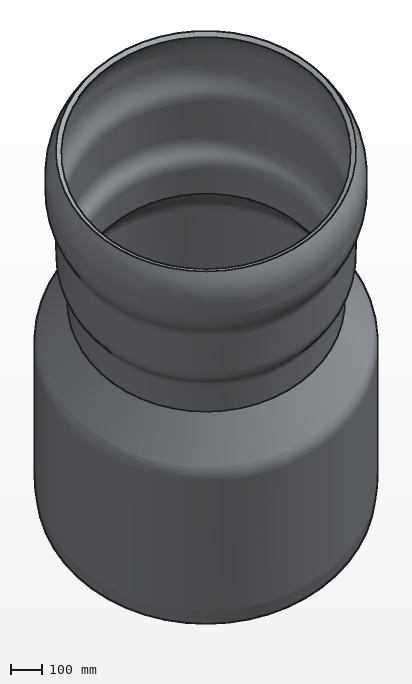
import cadquery as cq
import math

WALL = 20.0
TOTAL_HEIGHT = 1800.0
NECK_RADIUS = 890.0 / 2

REDUCER_RADIUS = 1100.0 / 2
REDUCER_HEIGHT = 1003.0
CONE_BASE_HEIGHT = 803.0
SHOULDER_FILLET = 117.0
TIP_RADIUS = 544.0
TIP_TAPER_HEIGHT = 75.0
TIP_FILLET = 135.0

BULGE_RADIUS = 990.0 / 2 + WALL
SLEEVE_RADIUS = 960.0 / 2
MOUTH_RADIUS = SLEEVE_RADIUS
NECK_TOP = 1138.0
LOWER_BEND_JOINT = 1180.0
SLEEVE_BOTTOM = 1256.0
SLEEVE_TOP = 1447.0
UPPER_BEND_JOINT = 1498.0
BULGE_BOTTOM = 1602.0
BULGE_TOP = 1670.0


def polar(center, radius, angle):
    """Point in the (r, z) plane at an angle measured from the outward radial direction."""
    return (center[0] + radius * math.cos(angle), center[1] + radius * math.sin(angle))


def revolve_profile(profile):
    return profile.close().revolve(360, (0, 0, 0), (0, 1, 0))


def add_rounded_corner(profile, before, corner, after, radius):
    """Append a line to the corner and round it there, ready to go on toward the point after."""
    corner = cq.Vector(*corner)
    to_before = (cq.Vector(*before) - corner).normalized()
    to_after = (cq.Vector(*after) - corner).normalized()
    half_angle = to_before.getAngle(to_after) / 2
    tangent_length = radius / math.tan(half_angle)
    bisector = (to_before + to_after).normalized()
    start = corner + to_before * tangent_length
    middle = corner + bisector * (radius / math.sin(half_angle) - radius)
    end = corner + to_after * tangent_length
    return (
        profile
        .lineTo(start.x, start.y)
        .threePointArc((middle.x, middle.y), (end.x, end.y))
    )


def make_reducer():
    inner_radius = REDUCER_RADIUS - WALL
    inner_bottom = (inner_radius, 0)
    inner_shoulder = (inner_radius, CONE_BASE_HEIGHT)
    inner_top = (NECK_RADIUS - WALL, REDUCER_HEIGHT)
    outer_top = (NECK_RADIUS, REDUCER_HEIGHT)
    outer_shoulder = (REDUCER_RADIUS, CONE_BASE_HEIGHT)
    outer_taper = (REDUCER_RADIUS, TIP_TAPER_HEIGHT)
    outer_bottom = (TIP_RADIUS, 0)

    profile = cq.Workplane("XZ").moveTo(*inner_bottom)
    profile = add_rounded_corner(
        profile, inner_bottom, inner_shoulder, inner_top, SHOULDER_FILLET - WALL
    )
    profile = profile.lineTo(*inner_top).lineTo(*outer_top)
    profile = add_rounded_corner(profile, outer_top, outer_shoulder, outer_taper, SHOULDER_FILLET)
    profile = add_rounded_corner(profile, outer_shoulder, outer_taper, outer_bottom, TIP_FILLET)
    profile = profile.lineTo(*outer_bottom)
    return revolve_profile(profile)


def bend_arcs(small_radius, large_radius, bottom, joint, top):
    """Tangent S-bend of the outer face: a concave arc, then a convex arc, as (center, radius) and angle."""
    angle = 2 * math.atan((large_radius - small_radius) / (top - bottom))
    concave_radius = (joint - bottom) / math.sin(angle)
    convex_radius = (top - joint) / math.sin(angle)
    concave = ((small_radius + concave_radius, bottom), concave_radius)
    convex = ((large_radius - convex_radius, top), convex_radius)
    return concave, convex, angle


def add_bend(profile, bend, inset):
    """Append an S-bend, shifted inward from the outer face by inset."""
    (low_center, low_radius), (high_center, high_radius), angle = bend
    low_radius += inset
    high_radius -= inset
    return (
        profile
        .threePointArc(
            polar(low_center, low_radius, math.pi - angle / 2),
            polar(low_center, low_radius, math.pi - angle),
        )
        .threePointArc(
            polar(high_center, high_radius, -angle / 2),
            polar(high_center, high_radius, 0),
        )
    )


def socket_solid(inset):
    """Solid of revolution inside the socket face that lies inset from the outer face."""
    lower_bend = bend_arcs(NECK_RADIUS, SLEEVE_RADIUS, NECK_TOP, LOWER_BEND_JOINT, SLEEVE_BOTTOM)
    upper_bend = bend_arcs(SLEEVE_RADIUS, BULGE_RADIUS, SLEEVE_TOP, UPPER_BEND_JOINT, BULGE_BOTTOM)

    mouth_height = TOTAL_HEIGHT - BULGE_TOP
    mouth_inset = BULGE_RADIUS - MOUTH_RADIUS
    mouth_arc_radius = (mouth_height**2 + mouth_inset**2) / (2 * mouth_inset)
    mouth_angle = math.asin(mouth_height / mouth_arc_radius)
    mouth_center = (BULGE_RADIUS - mouth_arc_radius, BULGE_TOP)
    mouth_apex = (0, BULGE_TOP - mouth_center[0] * math.tan(mouth_angle))

    profile = (
        cq.Workplane("XZ")
        .moveTo(0, REDUCER_HEIGHT)
        .lineTo(NECK_RADIUS - inset, REDUCER_HEIGHT)
        .lineTo(NECK_RADIUS - inset, NECK_TOP)
    )
    profile = add_bend(profile, lower_bend, inset)
    profile = profile.lineTo(SLEEVE_RADIUS - inset, SLEEVE_TOP)
    profile = add_bend(profile, upper_bend, inset)
    profile = (
        profile
        .lineTo(BULGE_RADIUS - inset, BULGE_TOP)
        .threePointArc(
            polar(mouth_center, mouth_arc_radius - inset, mouth_angle / 2),
            polar(mouth_center, mouth_arc_radius - inset, mouth_angle),
        )
        .lineTo(*mouth_apex)
    )
    return revolve_profile(profile)


def make_socket():
    return socket_solid(0).cut(socket_solid(WALL))


reducer = make_reducer()
socket = make_socket()
result = cq.Compound.makeCompound([reducer.val(), socket.val()])